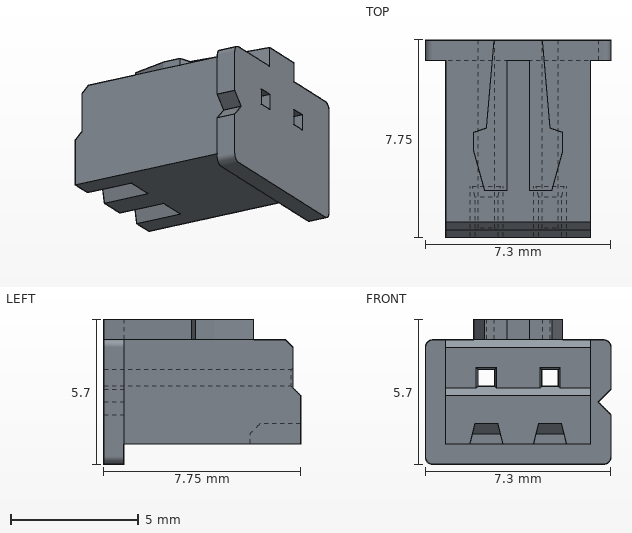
import cadquery as cq


flange_width = 7.3
flange_height = 4.9
flange_thickness = 0.8
flange_corner_radius = 0.3
key_notch_depth = 0.5

total_length = 7.75
flange_overhang = 0.8
body_width = flange_width - 2 * flange_overhang
body_bottom = flange_overhang
body_top = flange_height
bevel = 0.3
step_top = 3.0
upper_front_y = -(total_length - bevel)
lower_front_y = -total_length

pitch = 2.5
contact_positions = (-pitch / 2, pitch / 2)
hole_size = 0.64
hole_mouth_size = 0.8
mouth_flare = (hole_mouth_size - hole_size) / 2
hole_center_z = step_top + hole_mouth_size / 2

notch_bottom_width = 1.3
notch_top_width = 0.9
notch_height = 0.8
notch_depth = 2.0
notch_roof_drop = 0.4

latch_height = 0.8
latch_length = 5.9
latch_root_half_width = 0.95
latch_neck_half_width = 1.25
latch_neck_y = -3.45
latch_barb_half_width = 1.75
latch_barb_start_y = -3.62
latch_barb_end_y = -4.35
latch_tip_half_width = 1.32
latch_slot_width = 0.88


def make_flange():
    """Rounded rear plate with a V-shaped key notch in its +X edge."""
    plate = (
        cq.Workplane("XY")
        .box(flange_width, flange_thickness, flange_height)
        .edges("|Y")
        .fillet(flange_corner_radius)
        .translate((0, -flange_thickness / 2, flange_height / 2))
    )
    edge_x = flange_width / 2
    middle_z = flange_height / 2
    key_notch = (
        cq.Workplane("XZ")
        .moveTo(edge_x, middle_z + key_notch_depth)
        .lineTo(edge_x - key_notch_depth, middle_z)
        .lineTo(edge_x, middle_z - key_notch_depth)
        .close()
        .extrude(flange_thickness)
    )
    return plate.cut(key_notch)


def make_body():
    """Side profile with a bevelled top edge and a bevelled front step, extruded across X."""
    return (
        cq.Workplane("YZ")
        .moveTo(0, body_bottom)
        .lineTo(0, body_top)
        .lineTo(upper_front_y + bevel, body_top)
        .lineTo(upper_front_y, body_top - bevel)
        .lineTo(upper_front_y, step_top)
        .lineTo(lower_front_y, step_top - bevel)
        .lineTo(lower_front_y, body_bottom)
        .close()
        .extrude(body_width / 2, both=True)
    )


def make_latch():
    """Barbed latch with a slot between its two arms, open at the front."""
    right_side = [
        (latch_root_half_width, 0),
        (latch_neck_half_width, latch_neck_y),
        (latch_barb_half_width, latch_barb_start_y),
        (latch_barb_half_width, latch_barb_end_y),
        (latch_tip_half_width, -latch_length),
    ]
    left_side = [(-x, y) for x, y in reversed(right_side)]
    base = cq.Workplane("XY").workplane(offset=body_top)
    latch = base.polyline(right_side + left_side).close().extrude(latch_height)
    slot_length = latch_length - flange_thickness
    slot_center_y = -flange_thickness - slot_length / 2
    slot = base.center(0, slot_center_y).rect(latch_slot_width, slot_length).extrude(latch_height)
    return latch.cut(slot)


def make_contact_hole(x):
    """Square through hole with a flared mouth in the upper front face."""
    hole = (
        cq.Workplane("XZ")
        .center(x, hole_center_z)
        .rect(hole_size, hole_size)
        .extrude(total_length)
    )
    mouth = (
        cq.Workplane("XZ", origin=(x, upper_front_y, hole_center_z))
        .rect(hole_mouth_size, hole_mouth_size)
        .workplane(offset=-mouth_flare)
        .rect(hole_size, hole_size)
        .loft()
    )
    return hole.union(mouth)


def make_front_notch(x):
    """Trapezoidal notch with a level roof that slopes down just ahead of its rear wall."""
    rear_y = lower_front_y + notch_depth
    roof_z = body_bottom + notch_height
    trapezoid = (
        cq.Workplane("XZ", origin=(x, rear_y, body_bottom))
        .moveTo(-notch_bottom_width / 2, 0)
        .lineTo(-notch_top_width / 2, notch_height)
        .lineTo(notch_top_width / 2, notch_height)
        .lineTo(notch_bottom_width / 2, 0)
        .close()
        .extrude(notch_depth)
    )
    below_roof = (
        cq.Workplane("YZ", origin=(x, 0, 0))
        .moveTo(lower_front_y, body_bottom)
        .lineTo(lower_front_y, roof_z)
        .lineTo(rear_y - notch_roof_drop, roof_z)
        .lineTo(rear_y, roof_z - notch_roof_drop)
        .lineTo(rear_y, body_bottom)
        .close()
        .extrude(notch_bottom_width / 2, both=True)
    )
    return trapezoid.intersect(below_roof)


result = make_flange().union(make_body()).union(make_latch())
for contact_x in contact_positions:
    result = result.cut(make_front_notch(contact_x))
for contact_x in contact_positions:
    result = result.cut(make_contact_hole(contact_x), clean=False)